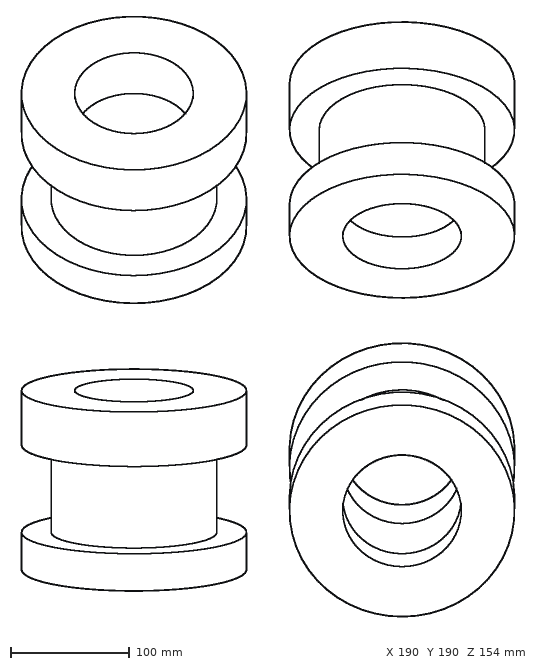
import cadquery as cq

flange_diameter = 190.0
sleeve_diameter = 140.0
bore_diameter = 100.0
total_height = 154.0
lower_flange_height = 32.0
sleeve_height = 75.0

sleeve_base = lower_flange_height
upper_flange_base = sleeve_base + sleeve_height
upper_flange_height = total_height - upper_flange_base


def make_ring(outer_diameter, height, base):
    """Ring around the Z axis with the common through bore."""
    return (
        cq.Workplane("XY")
        .workplane(offset=base)
        .circle(outer_diameter / 2)
        .circle(bore_diameter / 2)
        .extrude(height)
    )


lower_flange = make_ring(flange_diameter, lower_flange_height, 0)
sleeve = make_ring(sleeve_diameter, sleeve_height, sleeve_base)
upper_flange = make_ring(flange_diameter, upper_flange_height, upper_flange_base)

result = cq.Compound.makeCompound([lower_flange.val(), sleeve.val(), upper_flange.val()])